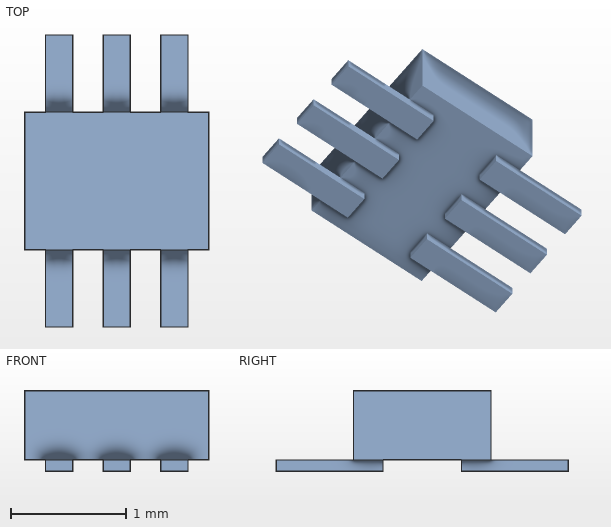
import cadquery as cq

overall_length = 2.54
overall_height = 0.7

lead_width = 0.24
lead_length = 0.93
lead_thickness = 0.1
lead_pitch = 0.5
leads_per_row = 3

housing_width = 1.6
housing_depth = 1.2
housing_height = overall_height - lead_thickness


def make_housing():
    """Plain block whose underside sits on top of the leads."""
    return (
        cq.Workplane("XY")
        .workplane(offset=lead_thickness)
        .rect(housing_width, housing_depth)
        .extrude(housing_height)
    )


def make_lead(x, y):
    """Flat lead centred at (x, y), with its underside on Z = 0."""
    return (
        cq.Workplane("XY")
        .center(x, y)
        .rect(lead_width, lead_length)
        .extrude(lead_thickness)
    )


housing = make_housing()

row_offset = (overall_length - lead_length) / 2
leads = []
for side in (-1, 1):
    for index in range(leads_per_row):
        lead_x = (index - (leads_per_row - 1) / 2) * lead_pitch
        leads.append(make_lead(lead_x, side * row_offset))

result = cq.Compound.makeCompound([housing.val(), *[lead.val() for lead in leads]])